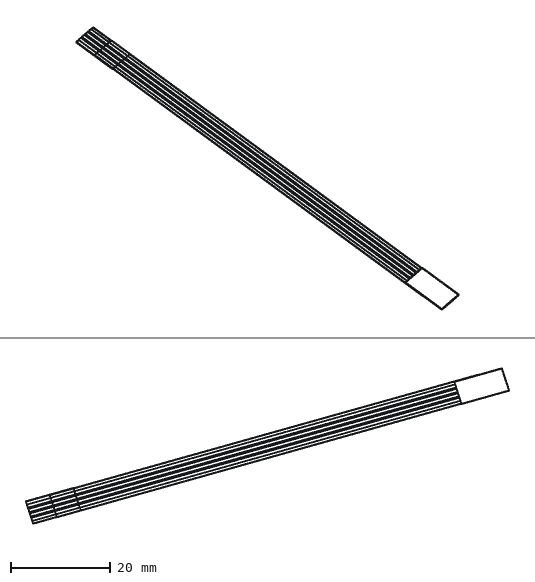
import cadquery as cq

length = 100.0
width = 5.0
total_thickness = 0.59

conductor_thickness = 0.05
film_thickness = 0.07
core_thickness = 2 * film_thickness + conductor_thickness
stiffener_thickness = (total_thickness - core_thickness) / 2

conductor_count = 4
conductor_pitch = 1.0
conductor_width = 0.7

exposed_length = 5.0
stiffener_length = 10.0

lower_film_z = stiffener_thickness
conductor_z = lower_film_z + film_thickness
upper_film_z = conductor_z + conductor_thickness
upper_stiffener_z = upper_film_z + film_thickness


def strip(x_start, x_end, z_bottom, thickness, strip_width=width, y_center=0.0):
    """Flat rectangular strip running along X."""
    return (
        cq.Workplane("XY")
        .box(x_end - x_start, strip_width, thickness, centered=(False, True, False))
        .translate((x_start, y_center, z_bottom))
    )


upper_film = strip(exposed_length, length, upper_film_z, film_thickness)
lower_film = strip(0, length - exposed_length, lower_film_z, film_thickness)

left_stiffener = strip(0, stiffener_length, 0, stiffener_thickness)
right_stiffener = strip(length - stiffener_length, length, upper_stiffener_z, stiffener_thickness)

result = lower_film.union(left_stiffener)

for index in range(conductor_count):
    conductor_y = (index - (conductor_count - 1) / 2) * conductor_pitch
    conductor = strip(0, length, conductor_z, conductor_thickness, conductor_width, conductor_y)
    result = result.union(conductor)

result = result.union(upper_film).union(right_stiffener)